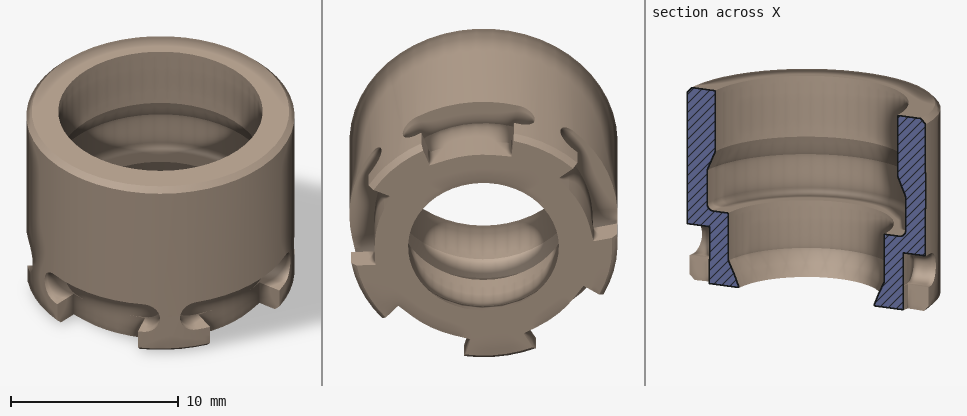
import cadquery as cq
import math

outer_diameter = 16.0
height = 12.0
edge_chamfer = 0.32

bore_diameter = 12.2
bore_depth = 3.76
recess_diameter = 13.3
recess_start_depth = 5.0
floor_depth = 7.45
floor_fillet = 0.4
hole_top_diameter = 10.43
hole_bottom_diameter = 9.0
hole_taper_height = 1.6

slot_count = 5
slot_floor_diameter = 13.0
slot_width = 2.02
slot_top = 3.52
track_half_sweep = 22.5
wide_track_half_sweep = 26.4
entry_half_sweep = 13.1

outer_radius = outer_diameter / 2
slot_floor_radius = slot_floor_diameter / 2
slot_center = slot_top - slot_width / 2
cut_margin = 0.8
cut_radius = outer_radius + cut_margin


def make_body():
    """Solid sleeve with a chamfer on both outer edges."""
    return cq.Workplane("XY").circle(outer_radius).extrude(height).edges().chamfer(edge_chamfer)


def make_cavity():
    """Bore, undercut recess with a rounded floor corner, and hole tapering in at its lower end."""
    bore_radius = bore_diameter / 2
    recess_radius = recess_diameter / 2
    floor_level = height - floor_depth
    fillet_center_x = recess_radius - floor_fillet
    fillet_center_z = floor_level + floor_fillet
    diagonal = floor_fillet * math.sqrt(0.5)
    return (
        cq.Workplane("XZ")
        .moveTo(0, height)
        .lineTo(bore_radius, height)
        .lineTo(bore_radius, height - bore_depth)
        .lineTo(recess_radius, height - recess_start_depth)
        .lineTo(recess_radius, fillet_center_z)
        .threePointArc(
            (fillet_center_x + diagonal, fillet_center_z - diagonal),
            (fillet_center_x, floor_level),
        )
        .lineTo(hole_top_diameter / 2, floor_level)
        .lineTo(hole_top_diameter / 2, hole_taper_height)
        .lineTo(hole_bottom_diameter / 2, 0)
        .lineTo(0, 0)
        .close()
        .revolve(360, (0, 0, 0), (0, 1, 0))
    )


def ring_sector(half_sweep, bottom):
    """Sector outside the slot floor, centred on +X, reaching up to the slot top."""
    sector = (
        cq.Workplane("XZ")
        .moveTo(slot_floor_radius, bottom)
        .lineTo(cut_radius, bottom)
        .lineTo(cut_radius, slot_top)
        .lineTo(slot_floor_radius, slot_top)
        .close()
        .revolve(2 * half_sweep, (0, 0, 0), (0, 1, 0))
    )
    center = sector.val().Center()
    turn = -math.degrees(math.atan2(center.y, center.x))
    return sector.rotate((0, 0, 0), (0, 0, 1), turn)


def make_slot(upper_half_sweep):
    """T-shaped slot centred on +X: a wide round-ended track and a narrower entry from below."""
    slot = ring_sector(upper_half_sweep, slot_top - slot_width)
    slot = slot.union(ring_sector(entry_half_sweep, -cut_margin))

    cut_depth = cut_radius - slot_floor_radius
    round_end = (
        cq.Workplane("YZ", origin=(slot_floor_radius, 0, slot_center))
        .circle(slot_width / 2)
        .extrude(cut_depth)
    )
    passage = cq.Workplane("XY").box(
        cut_depth, slot_width, slot_center + cut_margin, centered=(False, True, False)
    )
    passage = passage.translate((slot_floor_radius, 0, -cut_margin))
    passage = passage.union(round_end)
    for side in (-1, 1):
        slot = slot.union(round_end.rotate((0, 0, 0), (0, 0, 1), side * upper_half_sweep))
        slot = slot.union(passage.rotate((0, 0, 0), (0, 0, 1), side * entry_half_sweep))
    return slot


result = make_body().cut(make_cavity())
result = result.cut(make_slot(wide_track_half_sweep))
regular_slot = make_slot(track_half_sweep)
for index in range(1, slot_count):
    result = result.cut(regular_slot.rotate((0, 0, 0), (0, 0, 1), index * 360 / slot_count))